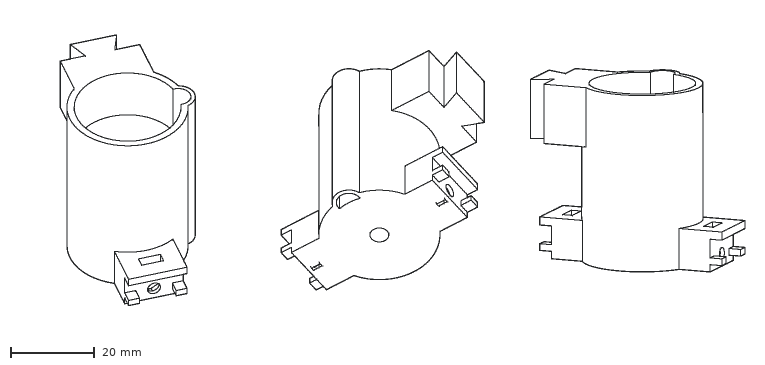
import cadquery as cq
import math

body_height = 43.0
body_radius = 14.5
bore_radius = 12.75
bore_depth = 13.0
floor_height = body_height - bore_depth
axial_hole_diameter = 4.5

channel_radius = 3.0
channel_wall = 1.05

block_height = 14.5
block_width = 20.0
block_reach = 21.3
dovetail_reach = 26.45
dovetail_root_width = 7.4
dovetail_tip_width = 11.7

lug_reach = 23.45
lug_width = 14.7
lug_height = 10.0
lip_length = 3.0
lip_thickness = 2.0
lug_face = lug_reach - lip_length
peg_width = 2.75
peg_thickness = 1.65
peg_base = 1.8

screw_height = 2.95
screw_diameter = 3.2
nut_across_flats = 5.5
nut_thickness = 2.5
nut_inner_face = 16.95


def box(x_start, length, width, z_start, height):
    """Box starting at x_start and z_start, centred on Y = 0."""
    return (
        cq.Workplane("XY")
        .box(length, width, height, centered=(False, True, False))
        .translate((x_start, 0, z_start))
    )


def make_dovetail_block():
    """Block on the -X side, ending in a dovetail that widens outwards."""
    half_block = block_width / 2
    half_root = dovetail_root_width / 2
    half_tip = dovetail_tip_width / 2
    return (
        cq.Workplane("XY", origin=(0, 0, body_height - block_height))
        .moveTo(0, half_block)
        .lineTo(-block_reach, half_block)
        .lineTo(-block_reach, half_root)
        .lineTo(-dovetail_reach, half_tip)
        .lineTo(-dovetail_reach, -half_tip)
        .lineTo(-block_reach, -half_root)
        .lineTo(-block_reach, -half_block)
        .lineTo(0, -half_block)
        .close()
        .extrude(block_height)
    )


def make_nut_trap():
    """Slot open at the lug top whose lower end follows a hexagon standing on a corner."""
    half_flats = nut_across_flats / 2
    corner_radius = nut_across_flats / math.sqrt(3)
    shoulder = screw_height - corner_radius / 2
    return (
        cq.Workplane("YZ", origin=(nut_inner_face, 0, 0))
        .moveTo(-half_flats, lug_height)
        .lineTo(-half_flats, shoulder)
        .lineTo(0, screw_height - corner_radius)
        .lineTo(half_flats, shoulder)
        .lineTo(half_flats, lug_height)
        .close()
        .extrude(nut_thickness)
    )


def make_lug():
    """Lug on the +X side with a top lip, two pegs, a nut trap and a screw hole."""
    lug = box(0, lug_face, lug_width, 0, lug_height)
    lug = lug.union(box(0, lug_reach, lug_width, lug_height - lip_thickness, lip_thickness))
    peg = box(0, lug_reach, peg_width, peg_base, peg_thickness)
    peg_offset = (lug_width - peg_width) / 2
    for side in (-1, 1):
        lug = lug.union(peg.translate((0, side * peg_offset, 0)))
    screw_hole = (
        cq.Workplane("YZ", origin=(nut_inner_face, 0, screw_height))
        .circle(screw_diameter / 2)
        .extrude(lug_face - nut_inner_face)
    )
    return lug.cut(make_nut_trap()).cut(screw_hole)


result = cq.Workplane("XY").circle(body_radius).extrude(body_height)
result = result.union(
    cq.Workplane("XY")
    .center(0, bore_radius)
    .circle(channel_radius + channel_wall)
    .extrude(body_height)
)
result = result.union(make_dovetail_block())
lug = make_lug()
for angle in (0, 180):
    result = result.union(lug.rotate((0, 0, 0), (0, 0, 1), angle))

bore = cq.Workplane("XY", origin=(0, 0, floor_height)).circle(bore_radius).extrude(bore_depth)
axial_hole = cq.Workplane("XY").circle(axial_hole_diameter / 2).extrude(body_height)
result = result.cut(bore).cut(axial_hole)

channel = cq.Workplane("XY").center(0, bore_radius).circle(channel_radius).extrude(body_height)
floor_plug = cq.Workplane("XY").circle(bore_radius).extrude(floor_height)
result = result.cut(channel.cut(floor_plug))